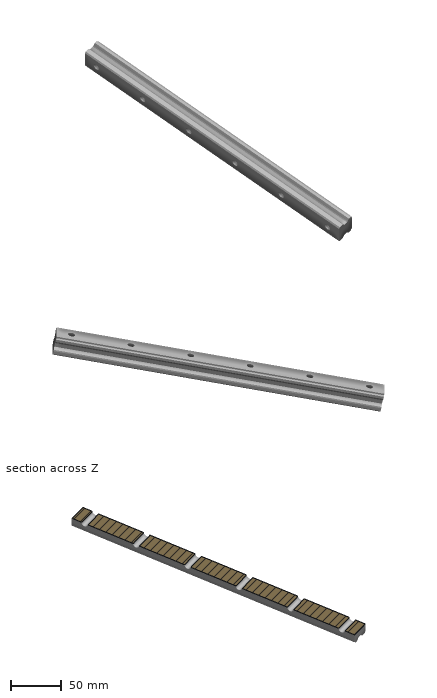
import cadquery as cq

length = 330.0
depth = 20.0
height = 23.0
half_depth = depth / 2
half_height = height / 2

head_half_height = 9.5
shoulder_start = 1.5
shoulder_chamfer = 0.5
head_land_end = 5.0

waist_half_height = 8.5
waist_start = 8.0
waist_end = 12.0
waist_bevel_run = 1.0
waist_bevel_rise = 0.5

foot_crest_run = 1.3
foot_crest_drop = 0.3
foot_land_start = 15.5
base_chamfer = 1.3

hole_count = 6
hole_diameter = 7.0
hole_pitch = length / (hole_count - 0.5)


def make_rail():
    """Extrude the cross-section, mirrored about the mid plane Z = 0."""
    flank = [
        (0, head_half_height),
        (shoulder_start, head_half_height),
        (shoulder_start, half_height - shoulder_chamfer),
        (shoulder_start + shoulder_chamfer, half_height),
        (head_land_end, half_height),
        (waist_start - waist_bevel_run, waist_half_height + waist_bevel_rise),
        (waist_start, waist_half_height),
        (waist_end, waist_half_height),
        (foot_land_start - foot_crest_run, half_height - foot_crest_drop),
        (foot_land_start, half_height),
        (depth - base_chamfer, half_height),
        (depth, half_height - base_chamfer),
    ]
    upper = [(half_depth - inset, z) for inset, z in flank]
    lower = [(y, -z) for y, z in reversed(upper)]
    section = cq.Workplane("YZ").polyline(upper + lower).close()
    return section.extrude(length / 2, both=True)


def make_holes():
    """Row of plain mounting holes running through the rail along Y."""
    return (
        cq.Workplane("XZ")
        .rarray(hole_pitch, 3.3, hole_count, 1)
        .circle(hole_diameter / 2)
        .extrude(depth, both=True)
    )


result = make_rail().cut(make_holes())